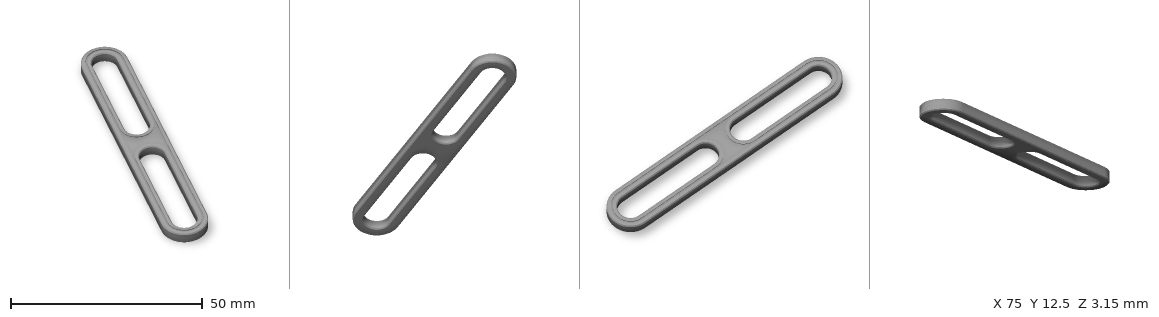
import cadquery as cq

length = 75.0
width = 12.5
thickness = 3.15
edge_chamfer = 0.3

rim_width = 1.1
groove_width = 0.5
border_width = 2 * rim_width + groove_width
recess_depth = 0.2

slot_width = width - 2 * border_width
slot_inner_end = border_width
slot_outer_end = length / 2 - border_width
slot_length = slot_outer_end - slot_inner_end
slot_center = (slot_outer_end + slot_inner_end) / 2

top = thickness / 2


def rounded_bar(bar_length, bar_width, height, base_z, center_x=0):
    """Upright solid with a full-round outline lying along X."""
    return (
        cq.Workplane("XY", origin=(center_x, 0, base_z))
        .slot2D(bar_length, bar_width)
        .extrude(height)
    )


def make_body():
    """Full-round bar with two through slots, every outline edge chamfered."""
    body = rounded_bar(length, width, thickness, -top)
    for side in (-1, 1):
        body = body.cut(rounded_bar(slot_length, slot_width, thickness, -top, side * slot_center))
    return body.faces("|Z").edges().chamfer(edge_chamfer)


def make_recess():
    """Shallow top pocket that leaves an outer rim and a raised rim around each slot."""
    floor_z = top - recess_depth
    recess = rounded_bar(length - 2 * rim_width, width - 2 * rim_width, recess_depth, floor_z)
    for side in (-1, 1):
        slot_rim = rounded_bar(
            slot_length + 2 * rim_width,
            slot_width + 2 * rim_width,
            recess_depth,
            floor_z,
            side * slot_center,
        )
        recess = recess.cut(slot_rim)
    return recess


result = make_body().cut(make_recess())